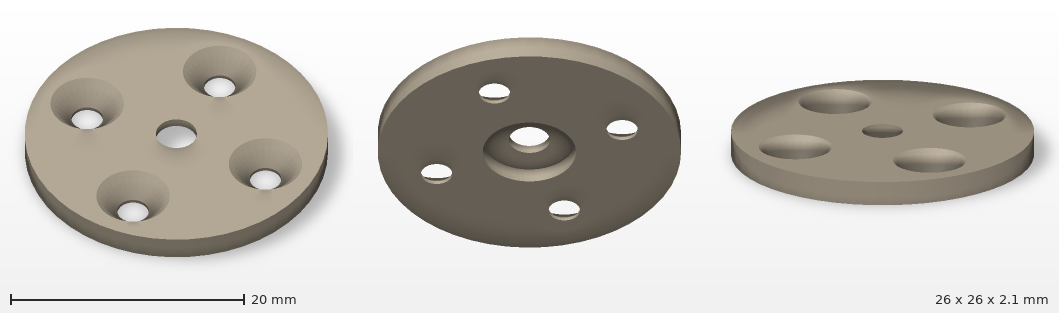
import cadquery as cq

disc_diameter = 26.0
disc_thickness = 2.1

center_hole_diameter = 3.5
recess_diameter = 8.0
center_web_thickness = 0.78
recess_depth = disc_thickness - center_web_thickness

screw_spacing = 12.0
screw_hole_diameter = 2.7
countersink_diameter = 6.3
countersink_angle = 90.0


def make_disc():
    """Plain disc resting on the XY plane."""
    return cq.Workplane("XY").circle(disc_diameter / 2).extrude(disc_thickness)


def cut_center(body):
    """Drill the central hole and sink the recess from below."""
    recess = cq.Workplane("XY").circle(recess_diameter / 2).extrude(recess_depth)
    return body.faces(">Z").workplane().hole(center_hole_diameter).cut(recess)


def cut_screw_holes(body):
    """Drill the four screw holes, countersunk from above."""
    return (
        body.faces(">Z")
        .workplane(origin=(0, 0, disc_thickness))
        .rect(screw_spacing, screw_spacing, forConstruction=True)
        .vertices()
        .cskHole(screw_hole_diameter, countersink_diameter, countersink_angle)
    )


result = cut_screw_holes(cut_center(make_disc()))